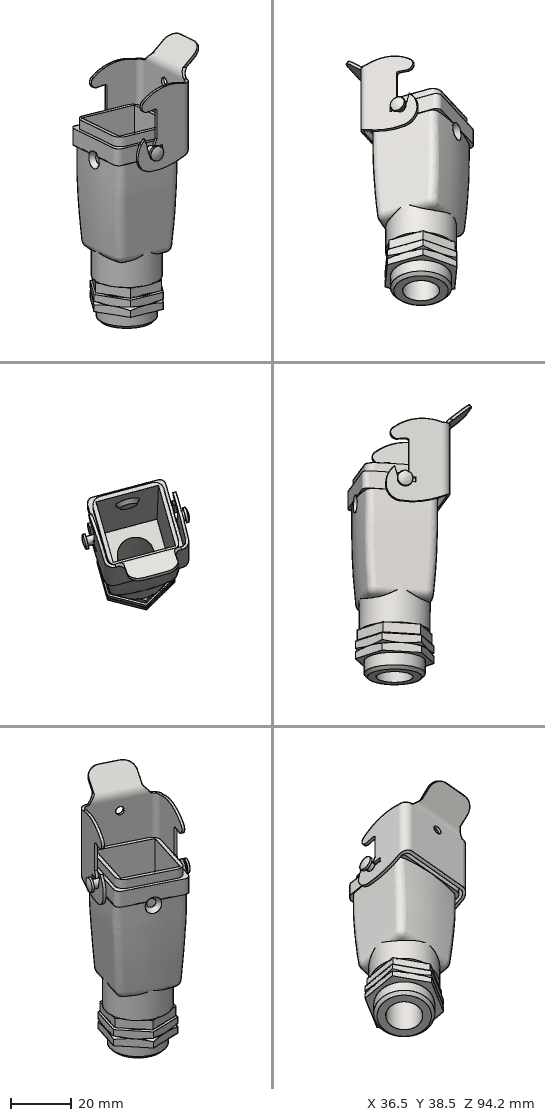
import cadquery as cq
import math

TOTAL_HEIGHT = 94.2
OVERALL_WIDTH = 36.5

CABLE_HOLE_DIA = 12.25
GLAND_CAP_DIA = 20.3
GLAND_CAP_CHAMFER = 1.1
NUT_BOTTOM_Z = 5.5
NUT_HEIGHT = 3.0
NUT_FLATS = 23.1
NUT_CHAMFER_HEIGHT = 0.7
NUT_CHAMFER_ANGLE = 20.0
NECK_DIA = 21.0
UPPER_HEX_BOTTOM_Z = 12.0
UPPER_HEX_FLATS = 22.0
STEM_BOTTOM_Z = 15.45
STEM_DIA = 23.6

HOOD_BOTTOM_Z = 24.6
FACE_TAPER_TOP_Z = 52.1
FACE_TAPER_SECTIONS = 4
SIDE_BEND_TOP_Z = 55.2
SIDE_BEND_BOTTOM_Z = 49.2
TAPER_INSET = 1.6
HOOD_HALF_WIDTH = 13.2
HOOD_HALF_DEPTH = 13.4
FACE_BULGE = 1.7
HOOD_CORNER = 2.7
HOOD_BOTTOM_FILLET = 2.6

COLLAR_BOTTOM_Z = 60.7
COLLAR_TOP_Z = 66.6
COLLAR_SIZE = 26.85
COLLAR_CORNER = 2.2
LIP_TOP_Z = 70.0
LIP_SIZE = 24.3
LIP_CORNER = 3.2
CAVITY_TOP_SIZE = 21.4
CAVITY_FLOOR_SIZE = 20.1
CAVITY_FLOOR_Z = 28.3

RECESS_Z = 59.0
RECESS_MOUTH_DIA = 6.1
RECESS_FLOOR_DIA = 3.3
RECESS_DEPTH = 2.0
BOSS_ROOT_DIA = 8.5
BOSS_TIP_DIA = 5.8
BOSS_HEIGHT = 1.6
BOSS_SUNK = 0.9

SHEET = 1.0
LEVER_BACK_Y = 16.2
LEVER_HALF_WIDTH = 14.5
LEVER_SPLAY = 0.5
LEVER_BEND = 3.2
LEVER_TOP_Z = 84.7
LEVER_FRONT_Y = -6.0
LEVER_BACK_BOTTOM_Z = 60.7
LEVER_HOLE_Z = 80.5
LEVER_HOLE_DIA = 3.0
KEY_SLOT_END_Y = 4.05
KEY_SLOT_BOTTOM_Z = 63.5
KEY_SLOT_HEIGHT = 1.5

LATCH_CROWN = (5.1, 85.5)
LATCH_NOSE_TOP = (-3.6, 81.8)
LATCH_NOSE_TIP = (-4.5, 80.3)
LATCH_NOSE_BOTTOM = (-1.9, 78.0)
LATCH_THROAT = (0.8, 78.3)
LATCH_THROAT_MID = (1.4, 78.1)
LATCH_THROAT_END = (1.7, 77.5)
PIVOT_MOUTH_Z = 67.65
PIVOT_MOUTH_NECK = (0.85, 65.8)
PIVOT_HOOK_TIP = (-3.2, 68.5)
PIVOT_NOSE_MID = (-5.3, 65.8)
PIVOT_NOSE_Z = 62.75
PIVOT_HEEL_MID = (-4.6, 58.4)
PIVOT_HEEL_END = (-0.9, 56.7)
LOWER_EDGE_START = (2.8, 56.6)
LOWER_EDGE_MID = (9.4, 57.85)

TAB_ANGLE = 39.8
TAB_BEND = 3.9
TAB_WIDTH = 17.3
TAB_CORNER = 4.7

PIN_Y = -0.1
PIN_Z = 63.7
PIN_DIA = 3.3
PIN_SEAT_ANGLE = 60.0
PIN_ROOT_X = 11.7
PIN_HEAD_DIA = 5.2
PIN_HEAD_X = 16.8
PIN_RIM_THICKNESS = 0.85
PIN_END_X = OVERALL_WIDTH / 2


def cylinder(diameter, bottom, top):
    return cq.Workplane("XY").workplane(offset=bottom).circle(diameter / 2).extrude(top - bottom)


def rounded_block(size, corner, bottom, top):
    block = cq.Workplane("XY").workplane(offset=bottom).rect(size, size).extrude(top - bottom)
    return block.edges("|Z").fillet(corner)


def hex_prism(flats, bottom, height):
    """Hexagonal prism with two corners on the Y axis."""
    corners = flats / math.cos(math.radians(30))
    prism = cq.Workplane("XY").polygon(6, corners).extrude(height)
    return prism.rotate((0, 0, 0), (0, 0, 1), 90).translate((0, 0, bottom))


def cone_along_y(start_y, z, start_dia, end_dia, length):
    cone = cq.Solid.makeCone(start_dia / 2, end_dia / 2, length, cq.Vector(0, start_y, z), cq.Vector(0, 1, 0))
    return cq.Workplane(obj=cone)


def chamfered_nut(bottom):
    """Hexagon nut whose top corners are turned down to a shallow cone."""
    corner_radius = NUT_FLATS / 2 / math.cos(math.radians(30))
    slope = math.tan(math.radians(NUT_CHAMFER_ANGLE))
    crown_radius = corner_radius - NUT_CHAMFER_HEIGHT / slope
    envelope = (
        cq.Workplane("XZ")
        .moveTo(0, 0)
        .lineTo(corner_radius, 0)
        .lineTo(corner_radius, NUT_HEIGHT - NUT_CHAMFER_HEIGHT)
        .lineTo(crown_radius, NUT_HEIGHT)
        .lineTo(0, NUT_HEIGHT)
        .close()
        .revolve(360, (0, 0, 0), (0, 1, 0))
    )
    return hex_prism(NUT_FLATS, 0, NUT_HEIGHT).intersect(envelope).translate((0, 0, bottom))


def make_gland():
    nuts_middle = NUT_BOTTOM_Z + NUT_HEIGHT
    lower_nut = chamfered_nut(NUT_BOTTOM_Z)
    upper_nut = lower_nut.mirror("XY", (0, 0, nuts_middle))
    cap = cylinder(GLAND_CAP_DIA, 0, NUT_BOTTOM_Z).faces("<Z").chamfer(GLAND_CAP_CHAMFER)
    neck = cylinder(NECK_DIA, nuts_middle, UPPER_HEX_BOTTOM_Z)
    upper_hex = hex_prism(UPPER_HEX_FLATS, UPPER_HEX_BOTTOM_Z, STEM_BOTTOM_Z - UPPER_HEX_BOTTOM_Z)
    stem = cylinder(STEM_DIA, STEM_BOTTOM_Z, CAVITY_FLOOR_Z)
    return cap.union(lower_nut).union(upper_nut).union(neck).union(upper_hex).union(stem)


def bulged_section(workplane, inset):
    """Oversize-wide section with convex front and back faces."""
    mid_y = HOOD_HALF_DEPTH - inset
    side_y = mid_y - FACE_BULGE
    return (
        workplane.moveTo(-HOOD_HALF_WIDTH, -side_y)
        .threePointArc((0, -mid_y), (HOOD_HALF_WIDTH, -side_y))
        .lineTo(HOOD_HALF_WIDTH, side_y)
        .threePointArc((0, mid_y), (-HOOD_HALF_WIDTH, side_y))
        .close()
    )


def make_hood_faces():
    """Block carrying the front and back faces: upright above, curving inwards below."""
    upright = bulged_section(cq.Workplane("XY").workplane(offset=FACE_TAPER_TOP_Z), 0)
    upright = upright.extrude(COLLAR_BOTTOM_Z - FACE_TAPER_TOP_Z)

    step = (FACE_TAPER_TOP_Z - HOOD_BOTTOM_Z) / FACE_TAPER_SECTIONS
    taper = bulged_section(cq.Workplane("XY").workplane(offset=FACE_TAPER_TOP_Z), 0)
    for level in range(1, FACE_TAPER_SECTIONS + 1):
        inset = TAPER_INSET * (level / FACE_TAPER_SECTIONS) ** 2
        taper = bulged_section(taper.workplane(offset=-step), inset)
    return upright.union(taper.loft(combine=True))


def make_hood_sides():
    """Prism carrying the flat sides: upright, a rounded bend, then a straight taper."""
    bend_z = (SIDE_BEND_TOP_Z + SIDE_BEND_BOTTOM_Z) / 2
    bend_inset = TAPER_INSET * (bend_z - SIDE_BEND_BOTTOM_Z) / (bend_z - HOOD_BOTTOM_Z)
    bend_half_width = HOOD_HALF_WIDTH - bend_inset
    foot_half_width = HOOD_HALF_WIDTH - TAPER_INSET
    return (
        cq.Workplane("XZ")
        .moveTo(-foot_half_width, HOOD_BOTTOM_Z)
        .lineTo(foot_half_width, HOOD_BOTTOM_Z)
        .lineTo(bend_half_width, SIDE_BEND_BOTTOM_Z)
        .tangentArcPoint((HOOD_HALF_WIDTH, SIDE_BEND_TOP_Z), relative=False)
        .lineTo(HOOD_HALF_WIDTH, COLLAR_BOTTOM_Z)
        .lineTo(-HOOD_HALF_WIDTH, COLLAR_BOTTOM_Z)
        .lineTo(-HOOD_HALF_WIDTH, SIDE_BEND_TOP_Z)
        .tangentArcPoint((-bend_half_width, SIDE_BEND_BOTTOM_Z), relative=False)
        .close()
        .extrude(COLLAR_SIZE)
        .translate((0, COLLAR_SIZE / 2, 0))
    )


def make_hood():
    hood = make_hood_faces().intersect(make_hood_sides())
    corner_edges = [
        edge
        for edge in hood.edges().vals()
        if min(abs(edge.Center().x), abs(edge.Center().y)) > HOOD_HALF_WIDTH / 2
    ]
    hood = hood.newObject(corner_edges).fillet(HOOD_CORNER)
    hood = hood.faces("<Z").edges().fillet(HOOD_BOTTOM_FILLET)

    collar = rounded_block(COLLAR_SIZE, COLLAR_CORNER, COLLAR_BOTTOM_Z, COLLAR_TOP_Z)
    lip = rounded_block(LIP_SIZE, LIP_CORNER, COLLAR_TOP_Z, LIP_TOP_Z)
    return hood.union(collar).union(lip)


def make_cavity():
    return (
        cq.Workplane("XY")
        .workplane(offset=CAVITY_FLOOR_Z)
        .rect(CAVITY_FLOOR_SIZE, CAVITY_FLOOR_SIZE)
        .workplane(offset=LIP_TOP_Z - CAVITY_FLOOR_Z)
        .rect(CAVITY_TOP_SIZE, CAVITY_TOP_SIZE)
        .loft(combine=True, ruled=True)
    )


def make_screw_boss():
    """Cone on the inside of the front wall, widened at its root to sink into the wall."""
    wall_y = -CAVITY_TOP_SIZE / 2
    root_dia = BOSS_ROOT_DIA + (BOSS_ROOT_DIA - BOSS_TIP_DIA) * BOSS_SUNK / BOSS_HEIGHT
    return cone_along_y(wall_y - BOSS_SUNK, RECESS_Z, root_dia, BOSS_TIP_DIA, BOSS_HEIGHT + BOSS_SUNK)


def lever_side_outline():
    """Side shape of the lever in (y, z): latch hook above, pivot hook below."""
    pin_radius = PIN_DIA / 2
    seat_angle = math.radians(PIN_SEAT_ANGLE)
    seat_start = (PIN_Y + pin_radius * math.cos(seat_angle), PIN_Z + pin_radius * math.sin(seat_angle))
    return (
        cq.Workplane("YZ")
        .moveTo(LEVER_BACK_Y, LEVER_TOP_Z)
        .lineTo(LEVER_BACK_Y - LEVER_BEND, LEVER_TOP_Z)
        .threePointArc(LATCH_CROWN, LATCH_NOSE_TOP)
        .threePointArc(LATCH_NOSE_TIP, LATCH_NOSE_BOTTOM)
        .lineTo(*LATCH_THROAT)
        .threePointArc(LATCH_THROAT_MID, LATCH_THROAT_END)
        .lineTo(LATCH_THROAT_END[0], PIVOT_MOUTH_Z)
        .lineTo(*PIVOT_MOUTH_NECK)
        .lineTo(*seat_start)
        .threePointArc((PIN_Y, PIN_Z - pin_radius), (PIN_Y - pin_radius, PIN_Z))
        .lineTo(*PIVOT_HOOK_TIP)
        .threePointArc(PIVOT_NOSE_MID, (LEVER_FRONT_Y, PIVOT_NOSE_Z))
        .threePointArc(PIVOT_HEEL_MID, PIVOT_HEEL_END)
        .lineTo(*LOWER_EDGE_START)
        .threePointArc(LOWER_EDGE_MID, (LEVER_BACK_Y, LEVER_BACK_BOTTOM_Z))
        .close()
    )


def lever_plan(half_width, back_y, bend):
    """Solid with the plan of the lever: back edge, two bends and slightly splayed legs."""
    front_half_width = half_width + LEVER_SPLAY
    round_x = half_width - bend * (1 - math.sqrt(0.5))
    round_y = back_y - bend * (1 - math.sqrt(0.5))
    return (
        cq.Workplane("XY")
        .moveTo(half_width - bend, back_y)
        .threePointArc((round_x, round_y), (half_width, back_y - bend))
        .lineTo(front_half_width, LEVER_FRONT_Y)
        .lineTo(-front_half_width, LEVER_FRONT_Y)
        .lineTo(-half_width, back_y - bend)
        .threePointArc((-round_x, round_y), (bend - half_width, back_y))
        .close()
        .extrude(TOTAL_HEIGHT)
    )


def make_tab():
    """Strip bent backwards from the top edge of the lever."""
    bend_y = LEVER_BACK_Y - SHEET + TAB_BEND
    sweep = math.radians(90 - TAB_ANGLE)
    rise = math.radians(TAB_ANGLE)
    bend_end_z = LEVER_TOP_Z + TAB_BEND * math.sin(sweep)
    flat_length = (TOTAL_HEIGHT - bend_end_z) / math.sin(rise)

    def on_bend(radius, angle):
        return bend_y - radius * math.cos(angle), LEVER_TOP_Z + radius * math.sin(angle)

    def tab_end(radius):
        y, z = on_bend(radius, sweep)
        return y + flat_length * math.cos(rise), z + flat_length * math.sin(rise)

    root_half = LEVER_HALF_WIDTH - LEVER_BEND
    inner_bend = TAB_BEND - SHEET
    strip = (
        cq.Workplane("YZ")
        .moveTo(*on_bend(TAB_BEND, 0))
        .threePointArc(on_bend(TAB_BEND, sweep / 2), on_bend(TAB_BEND, sweep))
        .lineTo(*tab_end(TAB_BEND))
        .lineTo(*tab_end(inner_bend))
        .lineTo(*on_bend(inner_bend, sweep))
        .threePointArc(on_bend(inner_bend, sweep / 2), on_bend(inner_bend, 0))
        .close()
        .extrude(root_half, both=True)
    )
    outline = (
        cq.Workplane("XZ")
        .moveTo(-root_half, LEVER_TOP_Z)
        .lineTo(root_half, LEVER_TOP_Z)
        .lineTo(TAB_WIDTH / 2, bend_end_z)
        .lineTo(TAB_WIDTH / 2, TOTAL_HEIGHT)
        .lineTo(-TAB_WIDTH / 2, TOTAL_HEIGHT)
        .lineTo(-TAB_WIDTH / 2, bend_end_z)
        .close()
        .extrude(-2 * LEVER_BACK_Y)
    )
    tab = strip.intersect(outline)
    through_sheet = cq.Vector(0, -math.sin(rise), math.cos(rise))
    along_tab = cq.Vector(0, math.cos(rise), math.sin(rise))
    end_face = tab.faces(cq.selectors.DirectionMinMaxSelector(along_tab))
    return end_face.edges(cq.selectors.ParallelDirSelector(through_sheet)).fillet(TAB_CORNER)


def make_lever():
    outer = lever_plan(LEVER_HALF_WIDTH, LEVER_BACK_Y, LEVER_BEND)
    inner = lever_plan(LEVER_HALF_WIDTH - SHEET, LEVER_BACK_Y - SHEET, LEVER_BEND - SHEET)
    lever = lever_side_outline().extrude(COLLAR_SIZE, both=True).intersect(outer).cut(inner)

    key_slot = (
        cq.Workplane("XY")
        .workplane(offset=KEY_SLOT_BOTTOM_Z)
        .center(0, KEY_SLOT_END_Y / 2)
        .rect(2 * COLLAR_SIZE, KEY_SLOT_END_Y)
        .extrude(KEY_SLOT_HEIGHT)
    )
    lever = lever.cut(key_slot)
    hole = cq.Workplane("XZ").center(0, LEVER_HOLE_Z).circle(LEVER_HOLE_DIA / 2).extrude(-2 * LEVER_BACK_Y)
    lever = lever.cut(hole)
    return lever.union(make_tab())


def make_pin():
    """Pin on the +X side, rooted in the collar, with a low domed head."""
    dome_edge_x = PIN_HEAD_X + PIN_RIM_THICKNESS
    dome_height = PIN_END_X - dome_edge_x
    head_radius = PIN_HEAD_DIA / 2
    dome_radius = (head_radius**2 + dome_height**2) / (2 * dome_height)
    half_angle = math.asin(head_radius / dome_radius) / 2
    dome_mid = (
        PIN_END_X - dome_radius * (1 - math.cos(half_angle)),
        dome_radius * math.sin(half_angle),
    )
    return (
        cq.Workplane("XY")
        .moveTo(PIN_ROOT_X, 0)
        .lineTo(PIN_ROOT_X, PIN_DIA / 2)
        .lineTo(PIN_HEAD_X, PIN_DIA / 2)
        .lineTo(PIN_HEAD_X, head_radius)
        .lineTo(dome_edge_x, head_radius)
        .threePointArc(dome_mid, (PIN_END_X, 0))
        .close()
        .revolve(360, (0, 0, 0), (1, 0, 0))
        .translate((0, PIN_Y, PIN_Z))
    )


body = make_gland().union(make_hood()).cut(make_cavity()).union(make_screw_boss())
body = body.cut(cylinder(CABLE_HOLE_DIA, 0, CAVITY_FLOOR_Z))
body = body.cut(
    cone_along_y(-COLLAR_SIZE / 2, RECESS_Z, RECESS_MOUTH_DIA, RECESS_FLOOR_DIA, RECESS_DEPTH)
)
right_pin = make_pin()
left_pin = right_pin.mirror("YZ")
result = body.union(make_lever()).union(right_pin).union(left_pin)